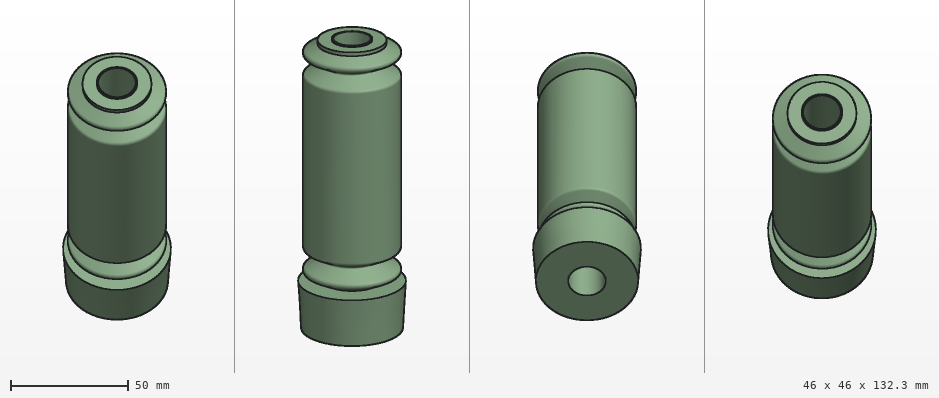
import cadquery as cq
import math

total_height = 132.32
bore_radius = 16 / 2

base_height = 21.5
base_bottom_radius = 43.6 / 2
base_top_radius = 46 / 2

body_radius = 42 / 2
flank_slope = 2.0
edge_round = 1.5
neck_round = 0.5
neck_apex_radius = 12.05

neck_to_bead = 5.35
lower_neck_z = 32.08
upper_neck_z = 120.67
lower_bead_z = lower_neck_z - neck_to_bead
upper_bead_z = upper_neck_z + neck_to_bead

collar_radius = 29.4 / 2
lip_radius = 17.3 / 2
lip_height = 0.5
collar_top_z = total_height - lip_height

flank_angle = math.atan(flank_slope)
round_end_height = edge_round * math.sin(flank_angle)
round_end_radius = body_radius - edge_round + edge_round * math.cos(flank_angle)
flank_rise = (body_radius - neck_apex_radius) / flank_slope


def flank_distance(radius):
    """Height between a bead's middle and the point of its flank at the given radius."""
    return round_end_height + (round_end_radius - radius) / flank_slope


def add_bead(outline, middle_z):
    """Continue the outline around a bead, from its upper tangent point to its lower one."""
    return (
        outline.lineTo(round_end_radius, middle_z + round_end_height)
        .threePointArc((body_radius, middle_z), (round_end_radius, middle_z - round_end_height))
    )


def add_neck(outline, middle_z):
    """Continue the outline downward through the rounded bottom of a V groove."""
    center_radius = neck_apex_radius + neck_round / math.cos(flank_angle)
    tangent_radius = center_radius - neck_round * math.cos(flank_angle)
    tangent_height = neck_round * math.sin(flank_angle)
    return (
        outline.lineTo(tangent_radius, middle_z + tangent_height)
        .threePointArc(
            (center_radius - neck_round, middle_z),
            (tangent_radius, middle_z - tangent_height),
        )
    )


def add_body(outline):
    """Continue the outline down the cylindrical body with its two rounded shoulders."""
    tangent_setback = edge_round * math.tan(flank_angle / 2)
    center_radius = body_radius - edge_round
    top_center_z = upper_neck_z - flank_rise - tangent_setback
    bottom_center_z = lower_neck_z + flank_rise + tangent_setback
    arc_middle_radius = center_radius + edge_round * math.cos(flank_angle / 2)
    arc_middle_height = edge_round * math.sin(flank_angle / 2)
    return (
        outline.lineTo(round_end_radius, top_center_z + round_end_height)
        .threePointArc((arc_middle_radius, top_center_z + arc_middle_height), (body_radius, top_center_z))
        .lineTo(body_radius, bottom_center_z)
        .threePointArc(
            (arc_middle_radius, bottom_center_z - arc_middle_height),
            (round_end_radius, bottom_center_z - round_end_height),
        )
    )


def make_part():
    """Revolve the half section, from the lip at the top down to the base."""
    flank_drop = lower_bead_z - round_end_height - base_height
    lower_flank_end_radius = round_end_radius - flank_slope * flank_drop
    outline = (
        cq.Workplane("XZ")
        .moveTo(bore_radius, total_height)
        .lineTo(lip_radius, total_height)
        .lineTo(lip_radius, collar_top_z)
        .lineTo(collar_radius, collar_top_z)
        .lineTo(collar_radius, upper_bead_z + flank_distance(collar_radius))
    )
    outline = add_bead(outline, upper_bead_z)
    outline = add_neck(outline, upper_neck_z)
    outline = add_body(outline)
    outline = add_neck(outline, lower_neck_z)
    outline = add_bead(outline, lower_bead_z)
    outline = (
        outline.lineTo(lower_flank_end_radius, base_height)
        .lineTo(base_top_radius, base_height)
        .lineTo(base_bottom_radius, 0)
        .lineTo(bore_radius, 0)
        .close()
    )
    return outline.revolve(360, (0, 0, 0), (0, 1, 0))


result = make_part()